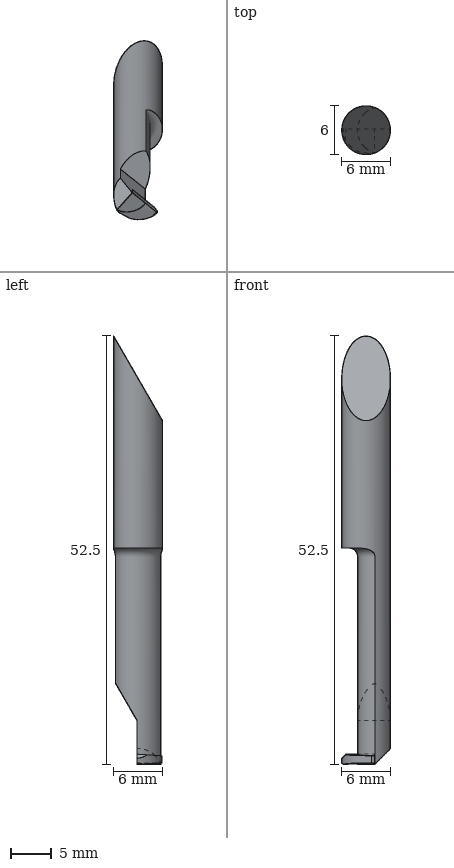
import cadquery as cq
import math

LENGTH = 52.45
RADIUS = 3.0
BEVEL_ANGLE = 60.0

SHOULDER_Z = 26.5
SHOULDER_FILLET = 1.05
NECK_RADIUS = 2.9
NECK_LEFT = -1.05
NECK_CENTER_X = NECK_LEFT + NECK_RADIUS

FLAT_Y = 0.15
FLAT_TOP = 5.4
END_CHAMFER = 1.95

HEAD_RIGHT = RADIUS - END_CHAMFER
HEAD_LEFT = -RADIUS
HEAD_FRONT = -RADIUS
HEAD_HEIGHT = 1.25
HEAD_RELIEF = 0.2
HEAD_BEND = (-0.9, -2.6)
FLANK_MIDDLE = (-2.3, -1.5)
TIP_TOP_CHAMFER = 0.5
TIP_BOTTOM_CHAMFER = 0.2
END_CLEARANCE = 0.15

MARGIN = 0.5
SLOPE = math.tan(math.radians(BEVEL_ANGLE))


def extrude_across(outline_yz):
    """Extrude a closed Y-Z outline along X, past both sides of the bar."""
    reach = RADIUS + MARGIN
    return cq.Workplane("YZ").polyline(outline_yz).close().extrude(reach, both=True)


def extrude_through(outline_xz):
    """Extrude a closed X-Z outline along Y, past both sides of the bar."""
    reach = RADIUS + MARGIN
    return cq.Workplane("XZ").polyline(outline_xz).close().extrude(reach, both=True)


def make_head_wedge():
    """Wedge left of the split plane, thinning from the rake face toward -Y."""
    wedge = extrude_across([
        (FLAT_Y, 0),
        (FLAT_Y, HEAD_HEIGHT),
        (HEAD_FRONT, HEAD_HEIGHT - HEAD_RELIEF),
        (HEAD_FRONT, HEAD_RELIEF),
    ])
    left_of_split = extrude_through([
        (HEAD_RIGHT, -MARGIN),
        (HEAD_RIGHT, HEAD_HEIGHT + MARGIN),
        (HEAD_LEFT - MARGIN, HEAD_HEIGHT + MARGIN),
        (HEAD_LEFT - MARGIN, -MARGIN),
    ])
    return wedge.intersect(left_of_split)


def make_neck_relief():
    """Material beside the neck, with the fillet under the shank's shoulder."""
    block = (
        cq.Workplane("XY", origin=(0, 0, -MARGIN))
        .rect(4 * RADIUS, 4 * RADIUS)
        .extrude(SHOULDER_Z + MARGIN)
    )
    flare_radius = NECK_RADIUS + SHOULDER_FILLET
    arc_inset = SHOULDER_FILLET * (1 - math.sqrt(0.5))
    turned_neck = (
        cq.Workplane("XZ", origin=(NECK_CENTER_X, 0, 0))
        .moveTo(0, -MARGIN)
        .lineTo(NECK_RADIUS, -MARGIN)
        .lineTo(NECK_RADIUS, SHOULDER_Z - SHOULDER_FILLET)
        .threePointArc(
            (NECK_RADIUS + arc_inset, SHOULDER_Z - arc_inset),
            (flare_radius, SHOULDER_Z),
        )
        .lineTo(0, SHOULDER_Z)
        .close()
        .revolve(360, (0, 0, 0), (0, 1, 0))
    )
    right_side = (
        cq.Workplane("XY", origin=(NECK_CENTER_X, 0, -MARGIN))
        .rect(3 * RADIUS, 4 * RADIUS, centered=(False, True))
        .extrude(SHOULDER_Z + MARGIN)
    )
    return block.cut(turned_neck).cut(right_side)


def make_top_bevel():
    rise = 2 * RADIUS * SLOPE
    return extrude_across([
        (RADIUS, LENGTH),
        (-RADIUS, LENGTH - rise),
        (-RADIUS - MARGIN, LENGTH - rise - MARGIN * SLOPE),
        (-RADIUS - MARGIN, LENGTH + MARGIN),
        (RADIUS, LENGTH + MARGIN),
    ])


def make_rake_relief():
    """Space behind the rake face, ending in a slanted run-out."""
    outside_y = RADIUS + MARGIN
    return extrude_across([
        (FLAT_Y, -MARGIN),
        (FLAT_Y, FLAT_TOP),
        (outside_y, FLAT_TOP + (outside_y - FLAT_Y) * SLOPE),
        (outside_y, -MARGIN),
    ])


def make_end_chamfer():
    return extrude_through([
        (HEAD_RIGHT - MARGIN, -MARGIN),
        (RADIUS + MARGIN, END_CHAMFER + MARGIN),
        (RADIUS + MARGIN, -MARGIN),
    ])


def make_shank():
    bar = cq.Workplane("XY").circle(RADIUS).extrude(LENGTH)
    return (
        bar.cut(make_top_bevel())
        .cut(make_neck_relief())
        .cut(make_rake_relief())
        .cut(make_end_chamfer())
        .cut(make_head_wedge())
    )


def make_cutting_head():
    plan = (
        cq.Workplane("XY")
        .moveTo(HEAD_LEFT, FLAT_Y)
        .threePointArc(FLANK_MIDDLE, HEAD_BEND)
        .lineTo(HEAD_RIGHT, HEAD_FRONT)
        .lineTo(HEAD_RIGHT, FLAT_Y)
        .close()
        .extrude(HEAD_HEIGHT)
    )
    tip_profile = extrude_through([
        (HEAD_LEFT + TIP_BOTTOM_CHAMFER, 0),
        (HEAD_RIGHT, END_CLEARANCE),
        (HEAD_RIGHT, HEAD_HEIGHT),
        (HEAD_LEFT + TIP_TOP_CHAMFER, HEAD_HEIGHT),
        (HEAD_LEFT, HEAD_HEIGHT - TIP_TOP_CHAMFER),
        (HEAD_LEFT, TIP_BOTTOM_CHAMFER),
    ])
    bar_round = cq.Workplane("XY").circle(RADIUS).extrude(HEAD_HEIGHT)
    return plan.intersect(bar_round).intersect(tip_profile).intersect(make_head_wedge())


shank = make_shank()
cutting_head = make_cutting_head()

result = cq.Compound.makeCompound([*shank.solids().vals(), *cutting_head.solids().vals()])